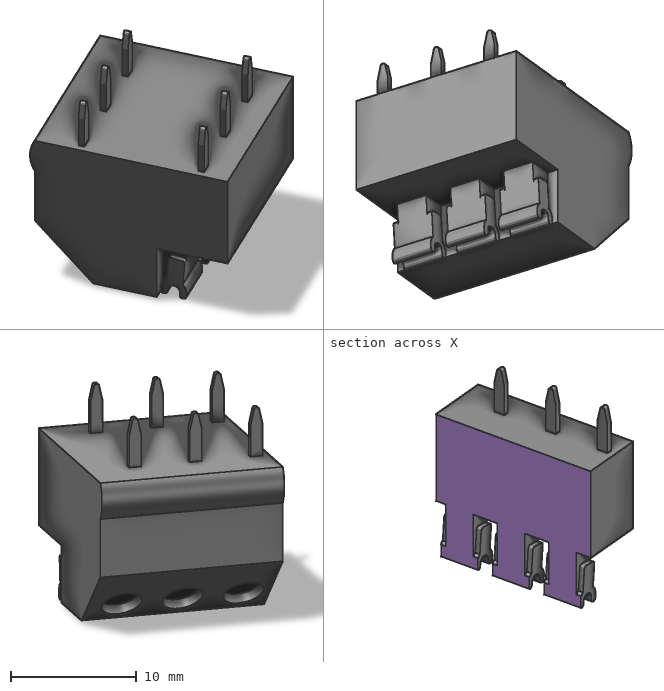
import cadquery as cq
import math


body_length = 16.32
body_width = 15.24
body_height = 12.8
bump_height = 3.0
bump_depth = 0.43
chamfer = 4.97
notch_length = 6.0
notch_height = 4.76

pole_count = 3
pole_pitch = 5.07

pin_thickness = 0.5
pin_width = 1.0
pin_height = 4.06
pin_straight = 2.65
pin_tip_width = 0.46
pin_tip_round = 0.2
pin_first_x = 3.73
pin_row_spacing = 10.15
pin_first_y = 1.08
pin_root = 0.35

recess_diameter = 3.3
recess_depth = 0.83
recess_height = 1.6
recess_first_y = 2.24

lever_tilt = 5.0
lever_width = 3.66
lever_first_y = 2.77
fork_outer_radius = 1.1
fork_inner_radius = 0.52
fork_leg_drop = 0.22
fork_centre_height = 0.24
stem_half_width = 0.69
stem_top = 3.16
stem_corner_radius = 0.25
web_width = 2.75
web_bottom = 0.86

notch_wall_x = body_length - notch_length
fork_centre_x = notch_wall_x + fork_outer_radius


def make_body():
    """Housing profile extruded along Y, with the rounded bump along its upper rear edge."""
    bump_bottom = body_height - bump_height
    return (
        cq.Workplane("XZ")
        .moveTo(0, body_height)
        .threePointArc((-bump_depth, body_height - bump_height / 2), (0, bump_bottom))
        .lineTo(0, chamfer)
        .lineTo(chamfer, 0)
        .lineTo(notch_wall_x, 0)
        .lineTo(notch_wall_x, notch_height)
        .lineTo(body_length, notch_height)
        .lineTo(body_length, body_height)
        .close()
        .extrude(-body_width)
    )


def make_pin(x, y):
    """Flat upright pin, tapered in Y to a rounded tip."""
    half_width = pin_width / 2
    half_tip = pin_tip_width / 2
    tip_start = pin_height - pin_tip_round
    return (
        cq.Workplane("YZ")
        .moveTo(-half_width, -pin_root)
        .lineTo(-half_width, pin_straight)
        .lineTo(-half_tip, tip_start)
        .threePointArc((0, pin_height), (half_tip, tip_start))
        .lineTo(half_width, pin_straight)
        .lineTo(half_width, -pin_root)
        .close()
        .extrude(pin_thickness / 2, both=True)
        .translate((x, y, body_height))
    )


def make_recess(y):
    """Cutter for a blind round recess square to the slope."""
    centre = cq.Vector(chamfer - recess_height, y, recess_height)
    slope = cq.Plane(origin=centre, xDir=(0, 1, 0), normal=(1, 0, 1))
    return cq.Workplane(slope).circle(recess_diameter / 2).extrude(recess_depth)


def make_lever(y):
    """Tilted stem ending in a two-legged fork with rounded leg ends."""
    leg_centre = (fork_outer_radius + fork_inner_radius) / 2
    leg_radius = (fork_outer_radius - fork_inner_radius) / 2
    neck_height = math.sqrt(fork_outer_radius**2 - stem_half_width**2)
    shoulder = fork_outer_radius * math.sqrt(0.5)
    leg_end = -fork_leg_drop
    cap_end = leg_end - leg_radius
    lever = (
        cq.Workplane("XZ")
        .moveTo(-stem_half_width, stem_top)
        .lineTo(stem_half_width, stem_top)
        .lineTo(stem_half_width, neck_height)
        .threePointArc((shoulder, shoulder), (fork_outer_radius, 0))
        .lineTo(fork_outer_radius, leg_end)
        .threePointArc((leg_centre, cap_end), (fork_inner_radius, leg_end))
        .lineTo(fork_inner_radius, 0)
        .threePointArc((0, fork_inner_radius), (-fork_inner_radius, 0))
        .lineTo(-fork_inner_radius, leg_end)
        .threePointArc((-leg_centre, cap_end), (-fork_outer_radius, leg_end))
        .lineTo(-fork_outer_radius, 0)
        .threePointArc((-shoulder, shoulder), (-stem_half_width, neck_height))
        .close()
        .extrude(lever_width / 2, both=True)
    )
    lever = lever.edges("|Y and >Z").fillet(stem_corner_radius)
    lever = lever.rotate((0, 0, 0), (0, 1, 0), lever_tilt)
    return lever.translate((fork_centre_x, y, fork_centre_height))


def make_web(y):
    """Block filling the notch corner, its outer face flush with the +X side of the lever stem."""
    tilt = math.radians(lever_tilt)

    def stem_face_x(z):
        rise = z - fork_centre_height
        return fork_centre_x + stem_half_width / math.cos(tilt) + rise * math.tan(tilt)

    bottom = fork_centre_height + web_bottom
    return (
        cq.Workplane("XZ")
        .moveTo(notch_wall_x, fork_centre_height)
        .lineTo(fork_centre_x, bottom)
        .lineTo(stem_face_x(bottom), bottom)
        .lineTo(stem_face_x(notch_height), notch_height)
        .lineTo(notch_wall_x, notch_height)
        .close()
        .extrude(web_width / 2, both=True)
        .translate((0, y, 0))
    )


result = make_body()
for pole in range(pole_count):
    offset = pole * pole_pitch
    result = result.cut(make_recess(recess_first_y + offset))
    result = result.union(make_web(lever_first_y + offset))
    result = result.union(make_lever(lever_first_y + offset))
    for row in range(2):
        pin_x = pin_first_x + row * pin_row_spacing
        result = result.union(make_pin(pin_x, pin_first_y + offset))